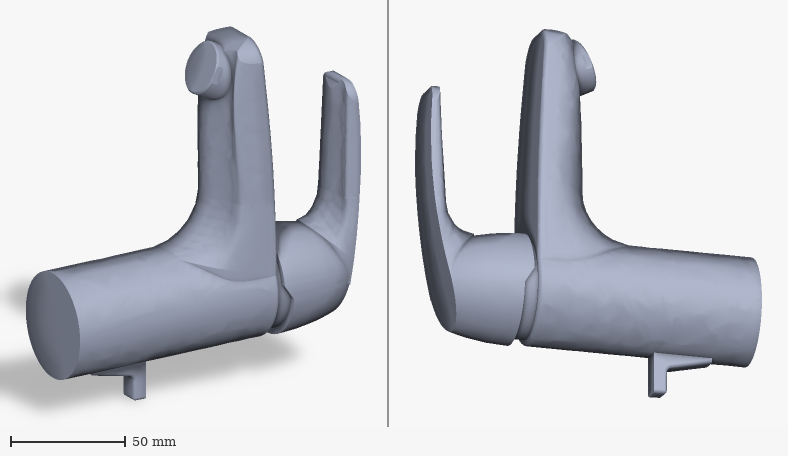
import cadquery as cq
import math

TOP_Z = 120.2
BOTTOM_Z = -40.0
LEVER_BACK_Y = 146.9

BARREL_RADIUS = 24.2
BARREL_LENGTH = 100.5
BARREL_RISE = 3.5

HUB_RADIUS = 24.8
HUB_FRONT_Y = 102.7
HUB_AXIS_Z = 3.7
HUB_DOME_MID = (125.6, 22.4)
HUB_END_RADIUS = 14.9
HUB_NOTCH_Y = 107.2
HUB_NOTCH_TOP_Z = 8.0
HUB_NOTCH_BOTTOM_Z = 1.3
NECK_RADIUS = 21.8
NECK_OVERLAP = 6.4

SPOUT_BACK_TOP = (95.5, TOP_Z)
SPOUT_BACK_MID = (99.5, 64.0)
SPOUT_BACK_LOW = (99.7, -32.0)
SPOUT_CROWN_MID = (89.0, 118.7)
SPOUT_CROWN_END = (82.4, 115.2)
SPOUT_NOSE_LOW = (72.8, 96.0)
SPOUT_CORNER_RADIUS = 12.8
SPOUT_TIP_HALF_WIDTH = 17.5
SPOUT_HALF_WIDTHS = [
    (0.0, 22.2), (17.6, 22.2), (41.6, 21.6), (74.4, 20.3), (97.6, 18.7), (TOP_Z, SPOUT_TIP_HALF_WIDTH),
]
SPOUT_FULLNESS = [(0.0, 1.0), (47.5, 0.97), (97.6, 1.1), (TOP_Z, 0.97)]
SPOUT_SIDE_Y = 96.8
SPOUT_FOOT_SIDE_Z = 13.6
SPOUT_BLEND_LOW = (50.5, 25.6)
SPOUT_BLEND_TOP = (75.5, 47.5)
SPOUT_FRONTS = [(76.3, 72.0), (78.1, 98.3), (80.7, TOP_Z + 1.6)]
BACK_EDGE_FILLET = 2.0

AERATOR_CENTER = (0.0, 74.3, 107.0)
AERATOR_RADIUS = 12.2
AERATOR_LENGTH = 12.8
AERATOR_TILT = 25.0
AERATOR_CHAMFER = 0.8
AERATOR_FLAT_DISTANCE = 11.5
AERATOR_FLAT_LENGTH = 3.5
AERATOR_FLAT_WIDTH = 9.6

LEVER_TIP_Z = 92.0
LEVER_BLEND_LOW = (124.5, 27.2)
LEVER_BLEND_TOP = (137.5, 39.2)
LEVER_FRONTS = [(139.4, 72.0), (140.5, LEVER_TIP_Z + 1.6)]
LEVER_FOOT_HALF_WIDTH = 18.9
LEVER_NECK_HALF_WIDTH = 15.2
LEVER_TIP_HALF_WIDTH = 12.6
LEVER_HALF_WIDTHS = [
    (0.0, LEVER_FOOT_HALF_WIDTH),
    (LEVER_BLEND_TOP[1], LEVER_NECK_HALF_WIDTH),
    (LEVER_TIP_Z, LEVER_TIP_HALF_WIDTH),
]
LEVER_FULLNESS = [(0.0, 1.0), (LEVER_TIP_Z, 1.0)]
LEVER_SIDE_Y = 144.7
LEVER_FOOT_SIDE_Z = 8.0
LEVER_CORNER_RADIUS = 9.6
LEVER_BACK_LOW = (130.0, -28.8)
LEVER_BACK_CURVE = [(133.3, -17.8), (141.0, 11.2), (145.8, 42.2), (LEVER_BACK_Y, 70.4), (145.5, 90.0)]
LEVER_TIP_MID = (143.7, LEVER_TIP_Z)
LEVER_TIP_FRONT = (141.3, 89.3)
LEVER_NOSE_LOW = (137.6, 80.0)

TAB_WIDTH = 10.4
TAB_BACK_Y = 43.8
TAB_THICKNESS = 6.1
TAB_WEB_INNER_Z = -28.6
TAB_WEB_END = (17.6, -25.0)
TAB_TOP_Z = -16.0
TAB_FILLET = 2.4
TAB_CORNER = 1.5

SPAN = 96.0
BLEND_STEPS = 4
FOOT_DEPTH = 12.8
CLEARANCE = 1.6


def interpolate(table, position):
    """Value at a position on a piecewise straight (position, value) table."""
    for (low, low_value), (high, high_value) in zip(table, table[1:]):
        if position <= high:
            return low_value + (high_value - low_value) * (position - low) / (high - low)
    return table[-1][1]


def d_section(side, front, back_y, half_width, fullness):
    """Section in the plane through two (y, z) points: flat back, straight sides, half-elliptical front.

    The ellipse starts at the side point and reaches the front point. The plane may slope along Y.
    A fullness of 1 gives the true ellipse and a larger one squares its shoulders.
    """
    rise = side[1] - front[1]
    run = side[0] - front[0]
    depth = math.hypot(run, rise)
    back_reach = (back_y - side[0]) * depth / run
    plane = cq.Plane(origin=(0, *side), xDir=(1, 0, 0), normal=(0, -rise, run))
    shoulder_x = half_width * fullness * math.sqrt(0.5)
    shoulder_y = -depth * fullness * math.sqrt(0.5)
    return (
        cq.Workplane(plane)
        .moveTo(half_width, 0)
        .lineTo(half_width, back_reach)
        .lineTo(-half_width, back_reach)
        .lineTo(-half_width, 0)
        .spline(
            [(-shoulder_x, shoulder_y), (0, -depth), (shoulder_x, shoulder_y), (half_width, 0)],
            tangents=[(0, -1), (0, 1)],
            includeCurrent=True,
        )
        .close()
        .val()
    )


def loft_column(blend_low, blend_top, foot_side_z, upper_fronts, half_widths, fullness, side_y, back_y):
    """Upright column: a constant foot, a concave quarter-ellipse blend and a nearly straight top part.

    Front points are (y, z). The blend starts horizontal at its low point and ends vertical at its top
    point, while the sections swing from sloping, with their sides at foot_side_z, to level.
    """
    blend = []
    for step in range(BLEND_STEPS + 1):
        fraction = step / BLEND_STEPS
        angle = fraction * math.pi / 2
        front_y = blend_low[0] + (blend_top[0] - blend_low[0]) * math.sin(angle)
        front_z = blend_top[1] - (blend_top[1] - blend_low[1]) * math.cos(angle)
        side_z = foot_side_z + (blend_top[1] - foot_side_z) * fraction
        blend.append(((side_y, side_z), (front_y, front_z)))
    upper = [((side_y, z), (y, z)) for y, z in [blend_top] + upper_fronts]
    foot = [((side_y, foot_side_z - FOOT_DEPTH), (blend_low[0], blend_low[1] - FOOT_DEPTH)), blend[0]]

    column = None
    for stations in (foot, blend, upper):
        sections = [
            d_section(
                side, front, back_y, interpolate(half_widths, side[1]), interpolate(fullness, side[1]),
            )
            for side, front in stations
        ]
        piece = cq.Workplane(cq.Solid.makeLoft(sections))
        column = piece if column is None else column.union(piece)
    return column


def side_prism(outline, width=SPAN):
    """Close a YZ outline and extrude it to a width centred on X = 0."""
    return outline.close().extrude(width / 2, both=True)


def tapered_plate(base_z, base_half, mid_z, mid_half, top_z, top_half, corner):
    """Front outline with a rounded top, extruded right through along Y."""
    outline = (
        cq.Workplane("XZ", origin=(0, 2 * SPAN, 0))
        .polyline([
            (-base_half, base_z), (base_half, base_z), (mid_half, mid_z), (top_half, top_z),
            (-top_half, top_z), (-mid_half, mid_z),
        ])
        .close()
        .extrude(3 * SPAN)
    )
    return outline.edges("|Y and >Z").fillet(corner)


def make_body():
    barrel = (
        cq.Workplane("XZ")
        .circle(BARREL_RADIUS)
        .workplane(offset=-BARREL_LENGTH - CLEARANCE)
        .center(0, BARREL_RISE)
        .circle(BARREL_RADIUS)
        .loft()
    )
    spout = loft_column(
        SPOUT_BLEND_LOW, SPOUT_BLEND_TOP, SPOUT_FOOT_SIDE_Z, SPOUT_FRONTS,
        SPOUT_HALF_WIDTHS, SPOUT_FULLNESS, SPOUT_SIDE_Y, BARREL_LENGTH + 2 * CLEARANCE,
    )
    cap = tapered_plate(
        -HUB_RADIUS, HUB_RADIUS, BARREL_RADIUS, HUB_RADIUS, TOP_Z, SPOUT_TIP_HALF_WIDTH, SPOUT_CORNER_RADIUS,
    )
    spout = spout.intersect(cap)
    body = barrel.union(spout)
    limits = side_prism(
        cq.Workplane("YZ")
        .moveTo(0, -SPAN / 2)
        .lineTo(*SPOUT_BACK_LOW)
        .threePointArc(SPOUT_BACK_MID, SPOUT_BACK_TOP)
        .threePointArc(SPOUT_CROWN_MID, SPOUT_CROWN_END)
        .lineTo(*SPOUT_NOSE_LOW)
        .lineTo(0, SPOUT_NOSE_LOW[1])
    )
    body = body.intersect(limits)
    back_face = cq.selectors.NearestToPointSelector((0, *SPOUT_BACK_MID))
    return body.faces(back_face).edges().fillet(BACK_EDGE_FILLET)


def make_aerator():
    tilt = math.radians(AERATOR_TILT)
    plane = cq.Plane(origin=AERATOR_CENTER, xDir=(1, 0, 0), normal=(0, -math.cos(tilt), math.sin(tilt)))
    disc = cq.Workplane(plane).circle(AERATOR_RADIUS).extrude(-AERATOR_LENGTH)
    disc = disc.faces(cq.selectors.DirectionMinMaxSelector(plane.zDir)).chamfer(AERATOR_CHAMFER)
    cutter_offset = AERATOR_FLAT_DISTANCE + CLEARANCE
    flats = (
        cq.Workplane(plane)
        .pushPoints([(-cutter_offset, 0), (cutter_offset, 0)])
        .rect(2 * CLEARANCE, AERATOR_FLAT_WIDTH)
        .extrude(-AERATOR_FLAT_LENGTH)
    )
    return disc.cut(flats)


def make_handle():
    hub = (
        cq.Workplane("XY", origin=(0, 0, HUB_AXIS_Z))
        .moveTo(0, HUB_FRONT_Y)
        .lineTo(HUB_RADIUS, HUB_FRONT_Y)
        .threePointArc(HUB_DOME_MID[::-1], (HUB_END_RADIUS, LEVER_BACK_Y))
        .lineTo(0, LEVER_BACK_Y)
        .close()
        .revolve(360, (0, 0, 0), (0, 1, 0))
    )
    lever = loft_column(
        LEVER_BLEND_LOW, LEVER_BLEND_TOP, LEVER_FOOT_SIDE_Z, LEVER_FRONTS,
        LEVER_HALF_WIDTHS, LEVER_FULLNESS, LEVER_SIDE_Y, LEVER_BACK_Y + CLEARANCE,
    )
    plate = tapered_plate(
        0, HUB_RADIUS, LEVER_BLEND_TOP[1], LEVER_NECK_HALF_WIDTH, LEVER_TIP_Z, LEVER_TIP_HALF_WIDTH,
        LEVER_CORNER_RADIUS,
    )
    lever = lever.intersect(plate)
    limits = side_prism(
        cq.Workplane("YZ")
        .moveTo(HUB_FRONT_Y, LEVER_NOSE_LOW[1])
        .lineTo(HUB_FRONT_Y, HUB_NOTCH_TOP_Z)
        .lineTo(HUB_NOTCH_Y, HUB_NOTCH_BOTTOM_Z)
        .lineTo(HUB_NOTCH_Y, LEVER_BACK_LOW[1])
        .lineTo(*LEVER_BACK_LOW)
        .spline(LEVER_BACK_CURVE, includeCurrent=True)
        .threePointArc(LEVER_TIP_MID, LEVER_TIP_FRONT)
        .lineTo(*LEVER_NOSE_LOW)
    )
    return hub.union(lever).intersect(limits)


def make_neck():
    return (
        cq.Workplane("XZ", origin=(0, HUB_NOTCH_Y + NECK_OVERLAP, HUB_AXIS_Z))
        .circle(NECK_RADIUS)
        .extrude(HUB_NOTCH_Y - BARREL_LENGTH + 2 * NECK_OVERLAP)
    )


def make_tab():
    leg_front_y = TAB_BACK_Y - TAB_THICKNESS
    tab = side_prism(
        cq.Workplane("YZ")
        .moveTo(TAB_BACK_Y, TAB_TOP_Z)
        .lineTo(TAB_BACK_Y, BOTTOM_Z)
        .lineTo(leg_front_y, BOTTOM_Z)
        .lineTo(leg_front_y, TAB_WEB_INNER_Z)
        .lineTo(*TAB_WEB_END)
        .lineTo(TAB_WEB_END[0], TAB_TOP_Z),
        TAB_WIDTH,
    )
    inner_corner = cq.selectors.NearestToPointSelector((0, leg_front_y, TAB_WEB_INNER_Z))
    tab = tab.edges("|X").edges(inner_corner).fillet(TAB_FILLET)
    tab = tab.edges("|Y and <Z").fillet(TAB_CORNER)
    return tab.faces("<Z").edges("<Y").fillet(TAB_CORNER)


result = make_body().union(make_aerator()).union(make_neck()).union(make_handle()).union(make_tab())